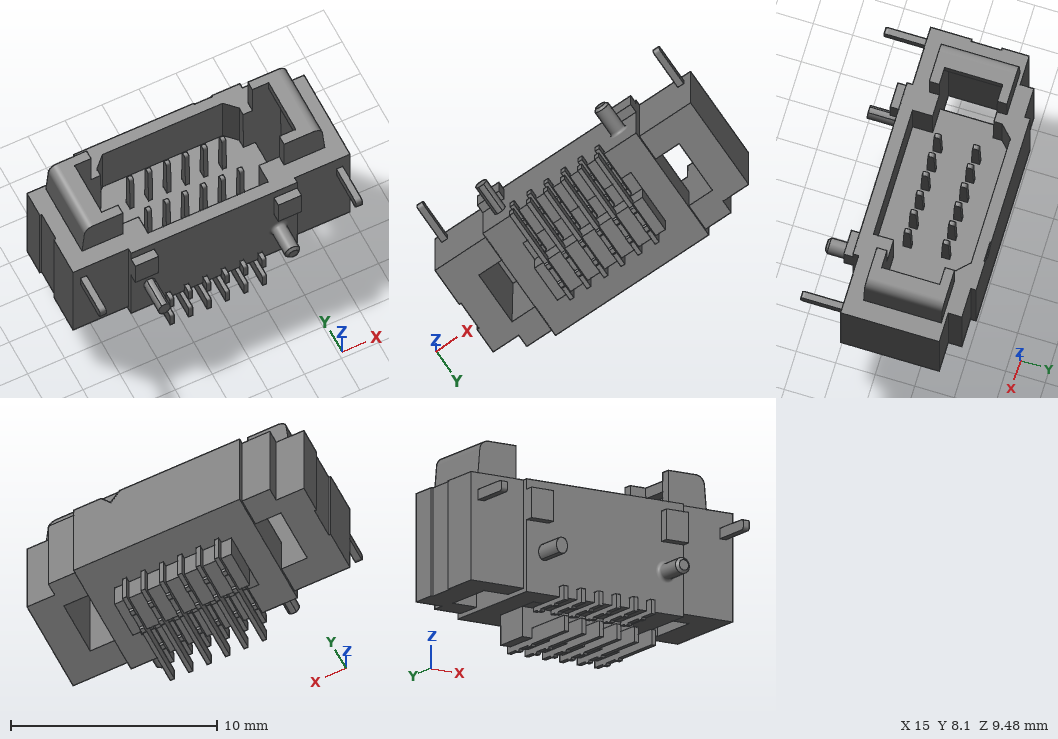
import cadquery as cq
import math


length = 15.0
height = 5.65
center_half = 4.5
center_depth = 6.24
step_half = 6.0
step_back = 5.97
wing_front = 0.28
wing_back = 5.28
wing_bottom = 0.22
side_notch_depth = 0.1
side_notch_front = 2.37
side_notch_back = 3.9

floor_z = 2.62
cavity_front = 0.66
cavity_back = 5.61
cavity_half = 3.25
corner_half = 3.85
corner_start = 5.01
window_half = 5.25
window_front = 1.68
window_back_low = 4.56
window_back_high = 4.62
undercut_half = 5.88
undercut_below_top = 0.54

tower_top = 7.59
tower_inner = 4.36
tower_outer = 6.57
tower_front = 1.17
tower_back = 5.1
tower_draft = 5.0
tower_fillet = 0.5

pad_inner = 3.24
pad_thickness = 0.46
pad_bottom = 3.6
pad_top = 5.13

peg_x = 3.5
peg_z = 2.1
peg_length = 1.62
peg_diameter = 0.8
peg_chamfer = 0.14
peg_flare = 0.16
oval_half_width = 0.32
oval_tip_half_width = 0.15

tab_x = 6.93
tab_width = 0.35
tab_tip = -1.86
tab_bottom = 4.29
tab_top = 4.82
tab_rounding = 0.18

mark_height = 0.75
mark_depth = 0.06

pins_per_row = 6
row_length = 5.0
pitch = row_length / (pins_per_row - 1)
pin_thickness = 0.22
pin_top = 5.16
pin_base_half = 0.21
pin_tip_half = 0.15
pin_tip_rounding = 0.12
tail_rounding = 0.1
bump_height = 0.09
bump_length = 0.39
bump_slope = 0.08
rear_pin_y = 4.11
rear_leg_back = 4.72
rear_tail = {"front": -0.46, "bottom": -1.8, "top": -1.0, "bumps": (2.72, 3.82)}
front_pin_y = 2.16
front_leg_back = 2.37
front_tail = {"front": -0.42, "bottom": -0.22, "top": 0.51, "bumps": (0.6, 1.86)}

carrier_half = 3.16
carrier_front = 1.5
carrier_top = 1.2
foot_front = 2.49
foot_back = 4.45
foot_bottom = -1.52


def box(x0, x1, y0, y1, z0, z1):
    return cq.Workplane("XY").box(x1 - x0, y1 - y0, z1 - z0, centered=False).translate((x0, y0, z0))


def both_sides(shape):
    return shape.union(shape.mirror("YZ"))


def extrude_along_x(points, x0, x1):
    """Extrude a closed (y, z) outline from x0 to x1."""
    return cq.Workplane("YZ", origin=(x0, 0, 0)).polyline(points).close().extrude(x1 - x0)


def make_shell():
    half = length / 2
    wings = box(-half, half, wing_front, wing_back, wing_bottom, height)
    steps = box(-step_half, step_half, wing_front, step_back, wing_bottom, height)
    center = box(-center_half, center_half, 0, center_depth, 0, height)
    notch = box(-half, -half + side_notch_depth, side_notch_front, side_notch_back, wing_bottom, height)
    return center.union(steps).union(wings).cut(notch)


def make_tower():
    """Drafted block at +X with a rounded outer top edge."""
    top_outer = tower_outer - (tower_top - height) * math.tan(math.radians(tower_draft))
    profile = [(tower_inner, height), (tower_outer, height), (top_outer, tower_top), (tower_inner, tower_top)]
    tower = cq.Workplane("XZ", origin=(0, tower_back, 0)).polyline(profile).close()
    tower = tower.extrude(tower_back - tower_front)
    return tower.edges("|Y").edges(">Z").edges(">X").fillet(tower_fillet)


def make_cavity():
    middle_y = (window_front + window_back_low) / 2
    front = box(-cavity_half, cavity_half, cavity_front, middle_y, floor_z, height)
    back_outline = [
        (-corner_half, middle_y),
        (corner_half, middle_y),
        (corner_half, corner_start),
        (cavity_half, cavity_back),
        (-cavity_half, cavity_back),
        (-corner_half, corner_start),
    ]
    back = cq.Workplane("XY", origin=(0, 0, floor_z)).polyline(back_outline).close().extrude(height - floor_z)
    return front.union(back)


def make_window_cut():
    """Slot between the towers; its rear wall leans back and its ends run through the underside."""
    slope = (window_back_high - window_back_low) / (tower_top - floor_z)
    back_at_bottom = window_back_low - slope * floor_z
    across = [
        (window_front, floor_z),
        (window_back_low, floor_z),
        (window_back_high, tower_top),
        (window_front, tower_top),
    ]
    through = [
        (window_front, 0),
        (back_at_bottom, 0),
        (window_back_high, tower_top),
        (window_front, tower_top),
    ]
    undercut_top = tower_top - undercut_below_top
    back_at_undercut = back_at_bottom + slope * undercut_top
    undercut = [
        (window_front, 0),
        (back_at_bottom, 0),
        (back_at_undercut, undercut_top),
        (window_front, undercut_top),
    ]
    ends = extrude_along_x(through, center_half, window_half)
    ends = ends.union(extrude_along_x(undercut, center_half, undercut_half))
    return extrude_along_x(across, -window_half, window_half).union(both_sides(ends))


def make_pads():
    return both_sides(box(pad_inner, center_half, -pad_thickness, 0, pad_bottom, pad_top))


def make_round_peg():
    """Round peg at +X with a flared root and a chamfered tip."""
    radius = peg_diameter / 2
    profile = (
        cq.Workplane("XY")
        .moveTo(0, 0)
        .lineTo(radius + peg_flare, 0)
        .radiusArc((radius, -peg_flare), -peg_flare)
        .lineTo(radius, -peg_length + peg_chamfer)
        .lineTo(radius - peg_chamfer, -peg_length)
        .lineTo(0, -peg_length)
        .close()
    )
    return profile.revolve(360, (0, 0), (0, 1)).translate((peg_x, 0, peg_z))


def make_oval_peg():
    """Peg at -X, narrower in X than in Z, bounded by four arcs."""
    radius = peg_diameter / 2
    corner_x = oval_tip_half_width
    corner_z = math.sqrt(radius**2 - corner_x**2)
    outline = (
        cq.Workplane("XZ", origin=(-peg_x, 0, peg_z))
        .moveTo(-corner_x, corner_z)
        .threePointArc((0, radius), (corner_x, corner_z))
        .threePointArc((oval_half_width, 0), (corner_x, -corner_z))
        .threePointArc((0, -radius), (-corner_x, -corner_z))
        .threePointArc((-oval_half_width, 0), (-corner_x, corner_z))
        .close()
    )
    return outline.extrude(peg_length)


def make_solder_tabs():
    tab = box(tab_x - tab_width / 2, tab_x + tab_width / 2, tab_tip, wing_front, tab_bottom, tab_top)
    return both_sides(tab.edges("|X").edges("<Y").fillet(tab_rounding))


def make_pin_one_mark():
    """Shallow triangular recess in the rear face, in line with the last pin at +X."""
    mark_x = row_length / 2
    outline = [(mark_x - pitch / 2, height), (mark_x + pitch / 2, height), (mark_x, height - mark_height)]
    return cq.Workplane("XZ", origin=(0, center_depth, 0)).polyline(outline).close().extrude(mark_depth)


def make_housing():
    housing = make_shell().union(both_sides(make_tower()))
    housing = housing.cut(make_cavity()).cut(make_window_cut()).cut(make_pin_one_mark())
    for feature in (make_pads(), make_round_peg(), make_oval_peg(), make_solder_tabs()):
        housing = housing.union(feature)
    return housing


def make_bump(center_y, top):
    low = bump_length / 2 - bump_slope
    outline = [
        (center_y - bump_length / 2, top),
        (center_y + bump_length / 2, top),
        (center_y + low, top - bump_height),
        (center_y - low, top - bump_height),
    ]
    return extrude_along_x(outline, -pin_thickness / 2, pin_thickness / 2)


def make_terminal(pin_y, leg_back, tail):
    """Flat L-shaped terminal: tapered pin, leg inside the carrier, tail with two bumps below."""
    half = pin_thickness / 2
    leg_front = pin_y - pin_base_half
    pin_outline = [
        (leg_front, floor_z),
        (pin_y + pin_base_half, floor_z),
        (pin_y + pin_tip_half, pin_top),
        (pin_y - pin_tip_half, pin_top),
    ]
    pin = extrude_along_x(pin_outline, -half, half).edges("|X").edges(">Z").fillet(pin_tip_rounding)
    embedded_pin = box(-half, half, leg_front, pin_y + pin_base_half, 0, floor_z)
    leg = box(-half, half, leg_front, leg_back, tail["bottom"], carrier_top)
    terminal = box(-half, half, tail["front"], leg_back, tail["bottom"], tail["top"])
    terminal = terminal.edges("|X").edges(">Z").edges("<Y").fillet(tail_rounding)
    terminal = terminal.union(leg).union(embedded_pin).union(pin)
    for bump_y in tail["bumps"]:
        terminal = terminal.union(make_bump(bump_y, tail["bottom"]))
    return terminal


def make_terminal_insert():
    """Carrier set into the housing floor, with its foot below and both rows of terminals."""
    insert = box(-carrier_half, carrier_half, carrier_front, foot_back, 0, carrier_top)
    insert = insert.union(box(-carrier_half, carrier_half, foot_front, foot_back, foot_bottom, 0))
    rear_terminal = make_terminal(rear_pin_y, rear_leg_back, rear_tail)
    front_terminal = make_terminal(front_pin_y, front_leg_back, front_tail)
    for index in range(pins_per_row):
        x = index * pitch - row_length / 2
        insert = insert.union(rear_terminal.translate((x, 0, 0)))
        insert = insert.union(front_terminal.translate((x, 0, 0)))
    return insert


terminal_insert = make_terminal_insert()
housing = make_housing().cut(terminal_insert)

result = cq.Compound.makeCompound([housing.val(), terminal_insert.val()])